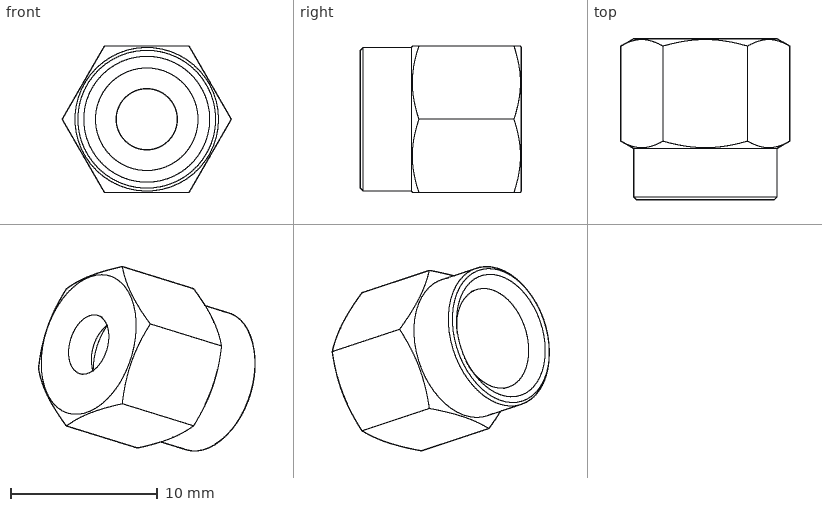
import cadquery as cq
import math

across_corners = 11.55
total_length = 11.0
collar_length = 3.5
collar_radius = 4.9
collar_chamfer = 0.2
hex_length = total_length - collar_length

bevel_angle = 30.0
bevel_face_radius = collar_radius
bevel_depth = (across_corners / 2 - bevel_face_radius) * math.tan(math.radians(bevel_angle))

mouth_radius = 4.3
bore_radius = 3.5
hole_radius = 2.08
mouth_depth = mouth_radius - bore_radius
bore_depth = 7.51
seat_half_angle = 45.0
seat_depth = (bore_radius - hole_radius) / math.tan(math.radians(seat_half_angle))


def revolve_about_y(points):
    """Revolve a closed (radius, y) outline around the Y axis."""
    return cq.Workplane("XY").polyline(points).close().revolve(360, (0, 0, 0), (0, 1, 0))


def make_hex():
    """Hexagon with corners on the X axis, bevelled at both ends."""
    prism = (
        cq.Workplane("XZ", origin=(0, total_length, 0))
        .polygon(6, across_corners)
        .extrude(hex_length)
    )
    corner_radius = across_corners / 2
    envelope = revolve_about_y([
        (0, collar_length),
        (bevel_face_radius, collar_length),
        (corner_radius, collar_length + bevel_depth),
        (corner_radius, total_length - bevel_depth),
        (bevel_face_radius, total_length),
        (0, total_length),
    ])
    return prism.intersect(envelope)


def make_collar():
    """Round collar with a chamfered free end at Y = 0."""
    return (
        cq.Workplane("XZ", origin=(0, collar_length, 0))
        .circle(collar_radius)
        .extrude(collar_length)
        .faces("<Y")
        .chamfer(collar_chamfer)
    )


def make_bore():
    """Stepped passage opening at the collar end."""
    return revolve_about_y([
        (0, 0),
        (mouth_radius, 0),
        (bore_radius, mouth_depth),
        (bore_radius, bore_depth),
        (hole_radius, bore_depth + seat_depth),
        (hole_radius, total_length),
        (0, total_length),
    ])


result = make_hex().union(make_collar()).cut(make_bore())